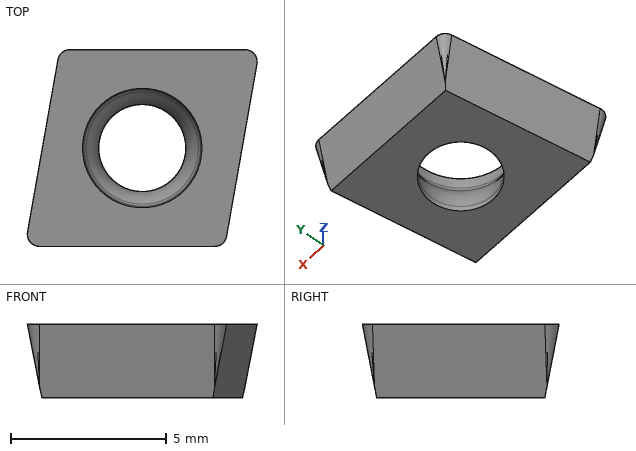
import cadquery as cq
import math

inscribed_diameter = 6.35
thickness = 2.38
corner_angle = 80.0
corner_radius = 0.397
relief_angle = 11.0

seat_mouth_radius = 1.925
seat_foot_radius = 1.885
seat_depth = 0.55
bore_radius = 1.4
bore_start_depth = 2.146
throat_radius = 2.45
throat_angle = 33.6

relief_slope = math.tan(math.radians(relief_angle))


def rhombus_corners(inset):
    """Corners of the rhombus with every side moved inward by inset, counterclockwise."""
    half_height = inscribed_diameter / 2 - inset
    half_side = half_height / math.sin(math.radians(corner_angle))
    lean = half_height / math.tan(math.radians(corner_angle))
    return [
        (-half_side - lean, -half_height),
        (half_side - lean, -half_height),
        (half_side + lean, half_height),
        (-half_side + lean, half_height),
    ]


def side_normals():
    """Outward unit normals of the sides, each side starting at the corner of the same index."""
    angles = [-90.0, corner_angle - 90.0, 90.0, corner_angle + 90.0]
    return [(math.cos(math.radians(a)), math.sin(math.radians(a))) for a in angles]


def polygon_face(points):
    """Flat face bounded by straight lines through the points."""
    return cq.Face.makeFromWires(cq.Wire.makePolygon([cq.Vector(*p) for p in points], close=True))


def sharp_blank():
    """Rhombic frustum, widest at the top face, with sharp corners."""
    return (
        cq.Workplane("XY", origin=(0, 0, thickness))
        .polyline(rhombus_corners(0))
        .close()
        .extrude(-thickness, taper=relief_angle)
    )


def corner_waste(index):
    """Material outside the conical corner, whose radius runs out to a point below the top face."""
    corner_x, corner_y = rhombus_corners(0)[index]
    center_x, center_y = rhombus_corners(corner_radius)[index]
    cone_height = corner_radius / relief_slope
    apex = (center_x, center_y, thickness - cone_height)
    tangent_points = [
        (center_x + corner_radius * normal_x, center_y + corner_radius * normal_y, thickness)
        for normal_x, normal_y in (side_normals()[index - 1], side_normals()[index])
    ]
    rim = [
        (center_x, center_y, thickness),
        tangent_points[0],
        (corner_x, corner_y, thickness),
        tangent_points[1],
    ]
    faces = [polygon_face(rim)]
    for start, end in zip(rim, rim[1:] + rim[:1]):
        faces.append(polygon_face([start, end, apex]))
    pyramid = cq.Solid.makeSolid(cq.Shell.makeShell(faces))
    cone = cq.Solid.makeCone(0, corner_radius, cone_height, cq.Vector(*apex), cq.Vector(0, 0, 1))
    return pyramid.cut(cone)


def screw_hole():
    """Revolved hole: near-cylindrical seat, hollow fillet, rounded throat, then a straight bore."""

    def throat_point(angle):
        """Radius and height on the throat arc, angle measured up from the end of the bore."""
        return (
            bore_radius + throat_radius * (1 - math.cos(math.radians(angle))),
            thickness - bore_start_depth + throat_radius * math.sin(math.radians(angle)),
        )

    return (
        cq.Workplane("XZ")
        .moveTo(0, 0)
        .lineTo(bore_radius, 0)
        .lineTo(*throat_point(0))
        .threePointArc(throat_point(throat_angle / 2), throat_point(throat_angle))
        .tangentArcPoint((seat_foot_radius, thickness - seat_depth), relative=False)
        .lineTo(seat_mouth_radius, thickness)
        .lineTo(0, thickness)
        .close()
        .revolve(360, (0, 0, 0), (0, 1, 0))
    )


result = sharp_blank()
for corner_index in range(len(rhombus_corners(0))):
    result = result.cut(cq.Workplane(obj=corner_waste(corner_index)))
result = result.cut(screw_hole())